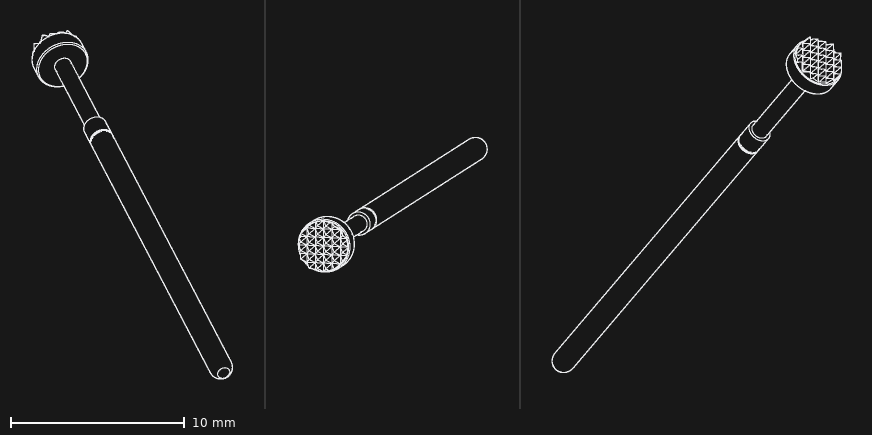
import cadquery as cq
import math

total_length = 33.28

head_diameter = 3.1
crown_diameter = 2.93
crown_length = 0.53
head_length = 1.55
head_chamfer = (head_diameter - crown_diameter) / 2

tooth_pitch = 0.5
tooth_rows = 6
groove_angle = 60.0
groove_depth = tooth_pitch / 2 / math.tan(math.radians(groove_angle / 2))

rod_diameter = 1.0

barrel_diameter = 1.35
barrel_start = 7.9
crimp_diameter = 1.23
crimp_start = 9.2
crimp_width = 0.1
tail_length = 0.6
tail_flat_diameter = 0.73


def build_body():
    """Revolve the half profile of head, rod and barrel about the X axis."""
    head_radius = head_diameter / 2
    crown_radius = crown_diameter / 2
    rod_radius = rod_diameter / 2
    barrel_radius = barrel_diameter / 2
    crimp_radius = crimp_diameter / 2
    crimp_end = crimp_start + crimp_width
    tail_start = total_length - tail_length
    return (
        cq.Workplane("XY")
        .lineTo(0, crown_radius)
        .lineTo(crown_length, crown_radius)
        .lineTo(crown_length, head_radius)
        .lineTo(head_length - head_chamfer, head_radius)
        .lineTo(head_length, head_radius - head_chamfer)
        .lineTo(head_length, rod_radius)
        .lineTo(barrel_start, rod_radius)
        .lineTo(barrel_start, barrel_radius)
        .lineTo(crimp_start, barrel_radius)
        .lineTo(crimp_start, crimp_radius)
        .lineTo(crimp_end, crimp_radius)
        .lineTo(crimp_end, barrel_radius)
        .lineTo(tail_start, barrel_radius)
        .tangentArcPoint((total_length, tail_flat_diameter / 2), relative=False)
        .lineTo(total_length, 0)
        .close()
        .revolve(360, (0, 0, 0), (1, 0, 0))
    )


def build_grooves():
    """Saw-toothed cutter along Z: one V-groove on each side of every tooth row."""
    first_groove = -tooth_rows * tooth_pitch / 2
    half_pitch = tooth_pitch / 2
    outline = (
        cq.Workplane("XY")
        .moveTo(-groove_depth, first_groove - half_pitch)
        .lineTo(0, first_groove - half_pitch)
    )
    for index in range(tooth_rows + 1):
        groove_centre = first_groove + index * tooth_pitch
        outline = outline.lineTo(groove_depth, groove_centre)
        outline = outline.lineTo(0, groove_centre + half_pitch)
    last_edge = -first_groove + half_pitch
    return outline.lineTo(-groove_depth, last_edge).close().extrude(head_diameter, both=True)


grooves = build_grooves()
crossed_grooves = grooves.rotate((0, 0, 0), (1, 0, 0), 90)
result = build_body().cut(grooves).cut(crossed_grooves)